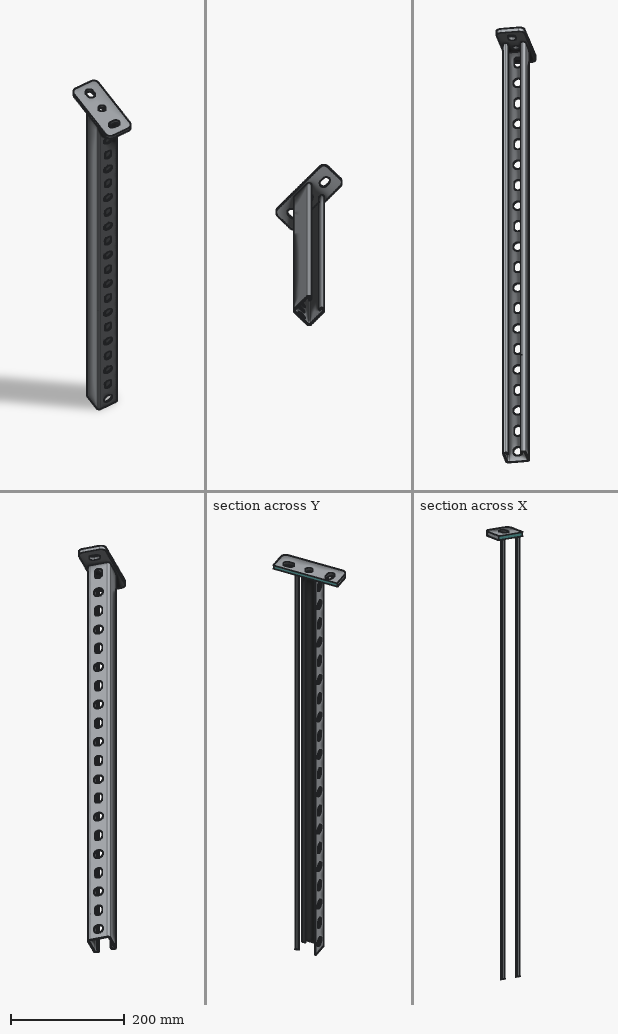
import cadquery as cq
import math

PLATE_LENGTH = 125.0
PLATE_WIDTH = 50.0
PLATE_THICKNESS = 8.0
PLATE_CORNER_RADIUS = 10.0
PLATE_HOLE_DIAMETER = 14.0
PLATE_SLOT_LENGTH = 20.0
LEFT_SLOT_OFFSET = 39.5
RIGHT_SLOT_OFFSET = 41.0

TOTAL_HEIGHT = 808.0
CHANNEL_SIZE = 41.0
WALL = 2.5
BEND_RADIUS = 5.0
LIP_BEND_RADIUS = 3.0
MOUTH_WIDTH = 23.0
LIP_DEPTH = 7.0

HOLE_COUNT = 20
ROUND_HOLE_DIAMETER = 17.0
WEB_SLOT_WIDTH = 14.0
WEB_SLOT_LENGTH = 20.0

CHANNEL_HEIGHT = TOTAL_HEIGHT - PLATE_THICKNESS
HOLE_PITCH = CHANNEL_HEIGHT / HOLE_COUNT
HALF_CHANNEL = CHANNEL_SIZE / 2
INNER_BEND_RADIUS = BEND_RADIUS - WALL
INNER_LIP_BEND_RADIUS = LIP_BEND_RADIUS - WALL


def make_plate():
    """Rounded plate with a central hole and two slots at right angles to each other."""
    plate = (
        cq.Workplane("XY", origin=(0, 0, CHANNEL_HEIGHT))
        .rect(PLATE_LENGTH, PLATE_WIDTH)
        .extrude(PLATE_THICKNESS)
        .edges("|Z")
        .fillet(PLATE_CORNER_RADIUS)
    )
    plate = plate.faces(">Z").workplane(centerOption="CenterOfBoundBox").hole(PLATE_HOLE_DIAMETER)
    for x, angle in ((-LEFT_SLOT_OFFSET, 0), (RIGHT_SLOT_OFFSET, 90)):
        slot = (
            cq.Workplane("XY", origin=(x, 0, CHANNEL_HEIGHT))
            .slot2D(PLATE_SLOT_LENGTH, PLATE_HOLE_DIAMETER, angle)
            .extrude(PLATE_THICKNESS)
        )
        plate = plate.cut(slot)
    return plate


def make_channel():
    """Bent-sheet channel: web, two flanges and two lips turned back into the channel."""
    inner = HALF_CHANNEL - WALL
    bend_start = HALF_CHANNEL - BEND_RADIUS
    lip_tip = LIP_DEPTH - HALF_CHANNEL
    mouth = MOUTH_WIDTH / 2
    lip_bend_y = mouth + LIP_BEND_RADIUS
    lip_bend_x = LIP_BEND_RADIUS - HALF_CHANNEL
    diagonal = math.sqrt(0.5)
    lip_mid_x = lip_bend_x - LIP_BEND_RADIUS * diagonal
    lip_mid_y = lip_bend_y - LIP_BEND_RADIUS * diagonal
    inner_lip_mid_x = lip_bend_x - INNER_LIP_BEND_RADIUS * diagonal
    inner_lip_mid_y = lip_bend_y - INNER_LIP_BEND_RADIUS * diagonal
    outer_mid = bend_start + BEND_RADIUS * diagonal
    inner_mid = bend_start + INNER_BEND_RADIUS * diagonal

    half = (
        cq.Workplane("XY")
        .moveTo(HALF_CHANNEL, 0)
        .lineTo(HALF_CHANNEL, bend_start)
        .threePointArc((outer_mid, outer_mid), (bend_start, HALF_CHANNEL))
        .lineTo(-bend_start, HALF_CHANNEL)
        .threePointArc((-outer_mid, outer_mid), (-HALF_CHANNEL, bend_start))
        .lineTo(-HALF_CHANNEL, lip_bend_y)
        .threePointArc((lip_mid_x, lip_mid_y), (lip_bend_x, mouth))
        .lineTo(lip_tip, mouth)
        .lineTo(lip_tip, mouth + WALL)
        .lineTo(lip_bend_x, mouth + WALL)
        .threePointArc((inner_lip_mid_x, inner_lip_mid_y), (-inner, lip_bend_y))
        .lineTo(-inner, bend_start)
        .threePointArc((-inner_mid, inner_mid), (-bend_start, inner))
        .lineTo(bend_start, inner)
        .threePointArc((inner_mid, inner_mid), (inner, bend_start))
        .lineTo(inner, 0)
        .close()
        .extrude(CHANNEL_HEIGHT)
    )
    return half.union(half.mirror("XZ"))


def make_web_holes():
    """Cutters through the web: round holes and upright slots, taking turns."""
    cutters = cq.Workplane("YZ")
    for index in range(HOLE_COUNT):
        z = (index + 0.5) * HOLE_PITCH
        start = cq.Workplane("YZ", origin=(0, 0, z))
        if index % 2 == 0:
            outline = start.circle(ROUND_HOLE_DIAMETER / 2)
        else:
            outline = start.slot2D(WEB_SLOT_LENGTH, WEB_SLOT_WIDTH, 90)
        cutters.add(outline.extrude(CHANNEL_SIZE))
    return cutters.combine()


result = make_plate().union(make_channel().cut(make_web_holes()))